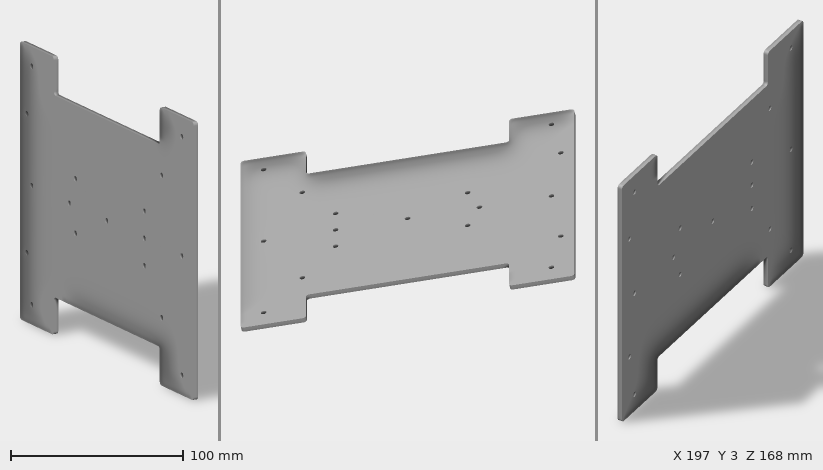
import cadquery as cq

length = 197.03
height = 168.0
thickness = 3.0

notch_width = 120.0
waist_height = 122.0
notch_depth = (height - waist_height) / 2

corner_radius = 2.0

hole_diameter = 3.3
edge_hole_x = 85.0
edge_hole_z = 72.0
left_pair_x = -90.5
left_pair_z = 42.0
right_pair_x = 62.1
right_pair_z = 43.0
inner_x = 42.5
inner_pair_z = 16.5
inner_left_pair_x = -35.5


def mirrored_pair(x, z):
    """Two points placed symmetrically above and below the centre line."""
    return [(x, z), (x, -z)]


def make_plate():
    """Plate standing in the XZ plane, with a notch cut from the top and bottom edges."""
    plate = cq.Workplane("XY").box(length, thickness, height)
    plate = plate.edges("|Y").fillet(corner_radius)
    for side in (1, -1):
        notch_centre_z = side * (height - notch_depth) / 2
        notch = (
            cq.Workplane("XY")
            .box(notch_width, thickness, notch_depth)
            .translate((0, 0, notch_centre_z))
        )
        plate = plate.cut(notch)
    return plate


def round_notch_corners(plate):
    """Round the mouth and the root corners of both notches."""
    half_mouth = notch_width / 2
    reach = corner_radius / 2
    for x in (-half_mouth, half_mouth):
        for z in (height / 2, waist_height / 2, -waist_height / 2, -height / 2):
            corner = cq.selectors.BoxSelector(
                (x - reach, -thickness, z - reach),
                (x + reach, thickness, z + reach),
            )
            plate = plate.edges("|Y").edges(corner).fillet(corner_radius)
    return plate


def drill_holes(plate):
    """Drill all screw holes through the thickness."""
    centres = [(0, 0)]
    for x in (-edge_hole_x, edge_hole_x):
        centres += [(x, 0)] + mirrored_pair(x, edge_hole_z)
    centres += mirrored_pair(left_pair_x, left_pair_z)
    centres += mirrored_pair(right_pair_x, right_pair_z)
    centres += [(-inner_x, 0), (inner_x, 0)]
    centres += mirrored_pair(inner_left_pair_x, inner_pair_z)
    centres += mirrored_pair(inner_x, inner_pair_z)
    drills = (
        cq.Workplane("XZ")
        .pushPoints(centres)
        .circle(hole_diameter / 2)
        .extrude(thickness, both=True)
    )
    return plate.cut(drills)


result = drill_holes(round_notch_corners(make_plate()))